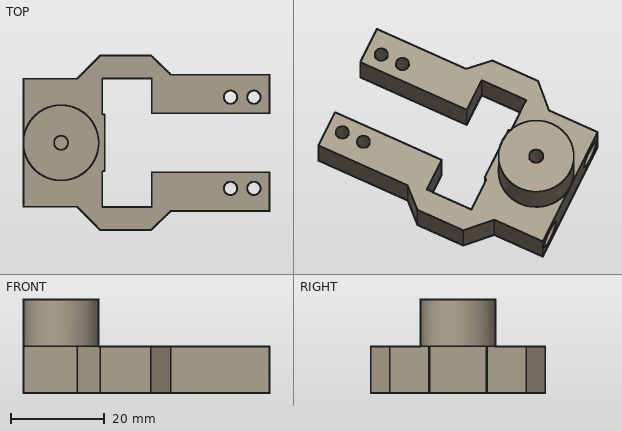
import cadquery as cq

length = 52.7
thickness = 10.0
block_half_width = 13.7
bulge_half_width = 18.7
arm_outer = 14.6
arm_inner = 6.25

bulge_start = 11.5
bulge_full = 16.45
bulge_taper = 27.3
arm_start = 31.55
window_start = 16.9
window_end = 27.45

pad_height = 0.55
pad_base_half_width = 6.15
pad_tip_half_width = 6.0

boss_diameter = 16.1
boss_height = 10.0
boss_hole_diameter = 3.0
boss_hole_depth = boss_height

bolt_spacing = 20.0
bolt_diameter = 3.0
counterbore_diameter = 6.0
counterbore_depth = 11.6

arm_hole_diameter = 2.8
arm_hole_spacing = 19.5
arm_hole_stations = (44.3, 49.35)


def make_fork():
    """Flat fork whose outline is mirrored about the X axis."""
    upper_half = [
        (0, block_half_width),
        (bulge_start, block_half_width),
        (bulge_full, bulge_half_width),
        (bulge_taper, bulge_half_width),
        (arm_start, arm_outer),
        (length, arm_outer),
        (length, arm_inner),
        (window_end, arm_inner),
        (window_end, block_half_width),
        (window_start, block_half_width),
        (window_start, pad_base_half_width),
        (window_start + pad_height, pad_tip_half_width),
    ]
    lower_half = [(x, -y) for x, y in reversed(upper_half)]
    return cq.Workplane("XY").polyline(upper_half + lower_half).close().extrude(thickness)


def add_boss(body):
    """Cylinder on top of the block with a blind hole down its axis."""
    axis = (boss_diameter / 2, 0)
    top = thickness + boss_height
    boss = cq.Workplane("XY").center(*axis).circle(boss_diameter / 2).extrude(top)
    hole = (
        cq.Workplane("XY", origin=(*axis, top))
        .circle(boss_hole_diameter / 2)
        .extrude(-boss_hole_depth)
    )
    return body.union(boss).cut(hole)


def cut_bolt_holes(body):
    """Pair of holes from the closed end into the window, with deep counterbores."""
    for y in (-bolt_spacing / 2, bolt_spacing / 2):
        end_face = cq.Workplane("YZ", origin=(0, y, thickness / 2))
        bore = end_face.circle(bolt_diameter / 2).extrude(window_start)
        counterbore = end_face.circle(counterbore_diameter / 2).extrude(counterbore_depth)
        body = body.cut(bore).cut(counterbore)
    return body


def cut_arm_holes(body):
    """Two through holes near the free end of each arm."""
    centers = [
        (x, side * arm_hole_spacing / 2)
        for x in arm_hole_stations
        for side in (-1, 1)
    ]
    holes = cq.Workplane("XY").pushPoints(centers).circle(arm_hole_diameter / 2).extrude(thickness)
    return body.cut(holes)


result = cut_arm_holes(cut_bolt_holes(add_boss(make_fork())))